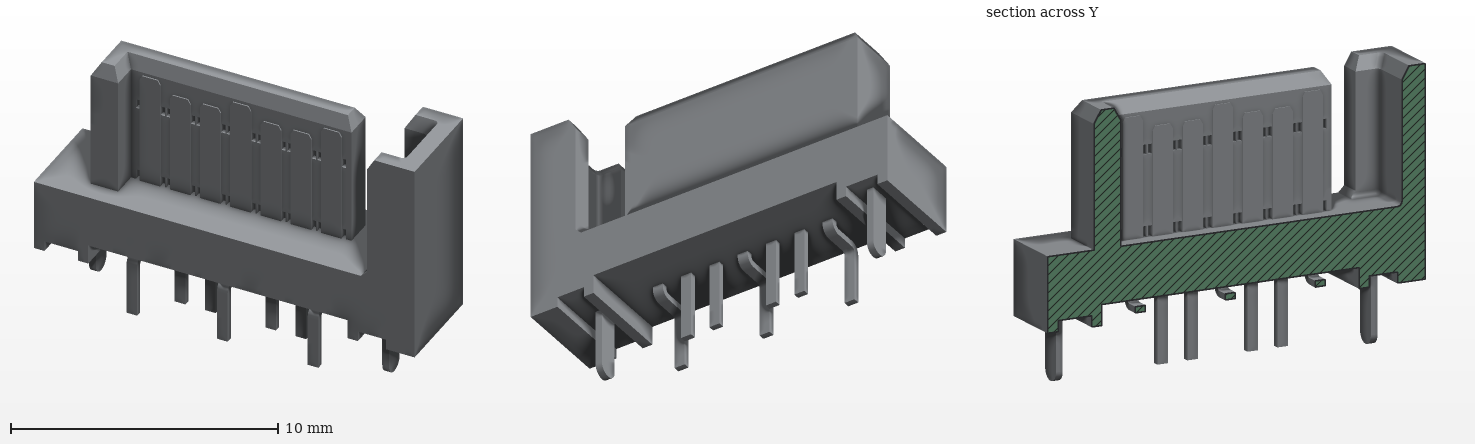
import cadquery as cq
import math

length = 16.0
depth = 4.0
height = 8.4
base_height = 3.0
mid_y = depth / 2

centre_relief = (2.29, 13.18)
centre_relief_height = 0.82
tail_reliefs = [(0.45, 1.85), (13.62, 14.8)]
tail_relief_height = 0.43

bevel_width = 0.3
bevel_height = 0.51
bevel_start = height - bevel_height
bevel_angle = math.degrees(math.atan(bevel_width / bevel_height))

blade_left = 1.95
blade_right = 12.37
blade_front = 1.92
blade_back = 3.09
leg_front = 0.86
leg_width = 1.15

guide_face = 14.0
guide_flare = 0.25
pocket_end = 15.0
pocket_width = 2.18
pocket_radius = 0.2
pocket_lead = 0.8
pocket_open = guide_face - pocket_lead

contact_count = 7
contact_row_length = 7.62
contact_row_centre = 7.73
contact_pitch = contact_row_length / (contact_count - 1)
contact_thickness = 0.25
contact_width = 0.86
long_contact_top = 7.76
short_contact_top = 7.28
contact_bevel_width = 0.11
contact_bevel_height = 0.2
contact_front = mid_y - contact_thickness / 2
contact_back = mid_y + contact_thickness / 2

window_width = 1.22
window_levels = [(base_height, 3.42), (6.2, 6.6)]

pin_width = 0.45
pin_bottom = -2.02
bent_pin_interval = 3
front_row_y = 0.51
bend_start = 0.72
bend_inner_radius = 0.16
bend_radius = bend_inner_radius + contact_thickness / 2
embed = 0.32

tail_centres = [(1.17, 2.98), (13.98, mid_y)]
tail_thickness = 0.29
tail_width = 0.86
tail_bottom = -2.4


def block(x_range, y_range, z_range):
    """Box spanning the given (low, high) ranges."""
    size = [high - low for low, high in (x_range, y_range, z_range)]
    corner = (x_range[0], y_range[0], z_range[0])
    return cq.Workplane("XY").box(*size, centered=False).translate(corner)


def make_base():
    base = block((0, length), (0, depth), (0, base_height))
    base = base.cut(block(centre_relief, (0, depth), (0, centre_relief_height)))
    for relief in tail_reliefs:
        base = base.cut(block(relief, (0, depth), (0, tail_relief_height)))
    return base


def bevelled_bar(x_range, y_range):
    """Upright bar on the base with all four top edges bevelled."""
    size = (x_range[1] - x_range[0], y_range[1] - y_range[0])
    centre = (sum(x_range) / 2, sum(y_range) / 2)
    shank = block(x_range, y_range, (base_height, bevel_start))
    top = (
        cq.Workplane("XY", origin=(*centre, bevel_start))
        .rect(*size)
        .extrude(bevel_height, taper=bevel_angle)
    )
    return shank.union(top)


def make_blade():
    wall = bevelled_bar((blade_left, blade_right), (blade_front, blade_back))
    leg = bevelled_bar((blade_left, blade_left + leg_width), (leg_front, blade_back))
    return wall.union(leg)


def rounded_rectangle(x_size, y_size):
    return cq.Sketch().rect(x_size, y_size).vertices().fillet(pocket_radius)


def make_pocket():
    """Pocket with rounded corners and floor edges, opened out along its top rim."""
    half_width = pocket_width / 2
    pocket = (
        block((pocket_open, pocket_end), (mid_y - half_width, mid_y + half_width), (base_height, height))
        .edges("|Z and >X").fillet(pocket_radius)
        .faces("<Z").edges().fillet(pocket_radius)
    )
    pocket_length = pocket_end - pocket_open
    rim = (
        cq.Workplane("XY", origin=((pocket_open + pocket_end) / 2, mid_y, bevel_start))
        .placeSketch(
            rounded_rectangle(pocket_length, pocket_width),
            rounded_rectangle(pocket_length + 2 * bevel_width, pocket_width + 2 * bevel_width)
            .moved(cq.Location(cq.Vector(0, 0, bevel_height))),
        )
        .loft()
    )
    return pocket.union(rim)


def make_guide():
    post = (
        cq.Workplane("XZ")
        .polyline([
            (length, base_height),
            (length, height),
            (guide_face + bevel_width, height),
            (guide_face, bevel_start),
            (guide_face, base_height + guide_flare),
            (guide_face - guide_flare, base_height),
        ])
        .close()
        .extrude(-depth)
    )
    return post.cut(make_pocket())


def make_windows(x):
    half_width = window_width / 2
    windows = cq.Workplane("XY")
    for level in window_levels:
        windows = windows.add(block((x - half_width, x + half_width), (blade_front, contact_back), level))
    return windows.combine()


def make_contact(x, top):
    half_width = contact_width / 2
    bottom = base_height - embed
    return (
        cq.Workplane("XZ", origin=(x, contact_front, 0))
        .polyline([
            (-half_width, bottom),
            (half_width, bottom),
            (half_width, top - contact_bevel_height),
            (half_width - contact_bevel_width, top),
            (contact_bevel_width - half_width, top),
            (-half_width, top - contact_bevel_height),
        ])
        .close()
        .extrude(-contact_thickness)
    )


def make_straight_pin(x):
    half_width = pin_width / 2
    return block(
        (x - half_width, x + half_width),
        (contact_front, contact_back),
        (pin_bottom, centre_relief_height + embed),
    )


def make_bent_pin(x):
    """Pin that steps forward through two rounded bends just under the housing."""
    top = centre_relief_height + embed
    lead_z = bend_start - bend_radius
    path = (
        cq.Workplane("YZ", origin=(x, 0, 0))
        .moveTo(mid_y, top)
        .lineTo(mid_y, bend_start)
        .tangentArcPoint((mid_y - bend_radius, lead_z), relative=False)
        .lineTo(front_row_y + bend_radius, lead_z)
        .tangentArcPoint((front_row_y, lead_z - bend_radius), relative=False)
        .lineTo(front_row_y, pin_bottom)
    )
    section = cq.Workplane("XY", origin=(x, mid_y, top)).rect(pin_width, contact_thickness)
    return section.sweep(path)


def make_tail(x, y):
    radius = tail_width / 2
    top = tail_relief_height + embed
    shoulder = tail_bottom + radius
    return (
        cq.Workplane("YZ", origin=(x - tail_thickness / 2, y, 0))
        .moveTo(-radius, top)
        .lineTo(-radius, shoulder)
        .threePointArc((0, tail_bottom), (radius, shoulder))
        .lineTo(radius, top)
        .close()
        .extrude(tail_thickness)
    )


result = make_base().union(make_blade()).union(make_guide())

for index in range(contact_count):
    contact_x = contact_row_centre + (index - (contact_count - 1) / 2) * contact_pitch
    result = result.cut(make_windows(contact_x))
    if index % bent_pin_interval == 0:
        result = result.union(make_contact(contact_x, long_contact_top)).union(make_bent_pin(contact_x))
    else:
        result = result.union(make_contact(contact_x, short_contact_top)).union(make_straight_pin(contact_x))

for tail_x, tail_y in tail_centres:
    result = result.union(make_tail(tail_x, tail_y))